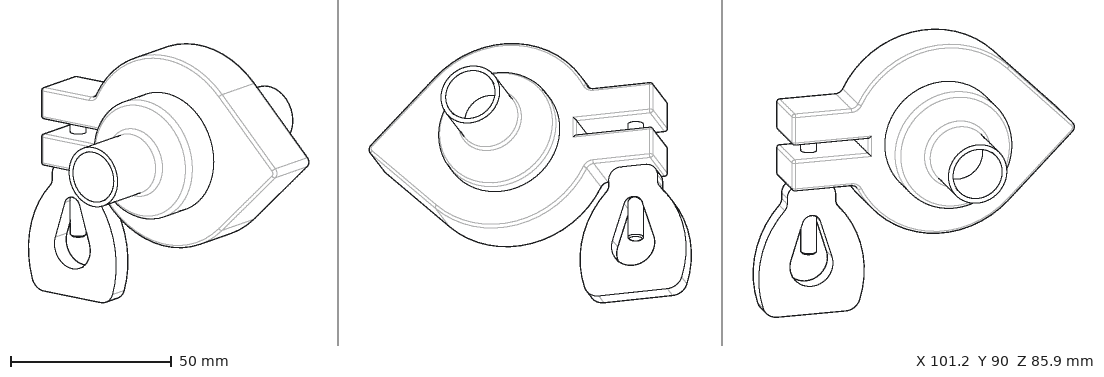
import cadquery as cq
import math

clamp_width = 18.0
ring_radius = 30.8
edge_round = 0.9
tip_x = 43.0
tip_round = 2.0
arm_end_x = -48.9
arm_half_height = 12.6
arm_root_round = 2.5
slot_half_height = 2.4
slot_end_x = -24.2

pipe_diameter = 19.0
bore_diameter = 16.0
body_diameter = 38.0
front_end_y = -46.0
front_cone_small_y = -25.1
front_cone_large_y = -21.4
rear_cone_large_y = 14.3
rear_cone_small_y = 22.5
rear_end_y = 44.0
body_round = 2.0

pin_x = -41.0
pin_diameter = 5.0
pin_bottom_z = -35.9
pin_chamfer = 0.5
handle_thickness = 6.1
handle_bottom_z = -55.1
neck_half_width = 7.9
neck_top_round = 3.9
neck_root_round = 3.0
handle_half_width = 17.2
handle_widest_z = -42.1
handle_side_radius = 31.9
handle_bottom_round = 4.9
eye_small_radius = 3.0
eye_small_z = -25.9
eye_large_radius = 7.0
eye_large_z = -39.0


def round_edges_along_y(body, points, radius):
    """Round the Y-direction edges that pass through the given (x, z) points."""
    for x, z in points:
        body = body.edges("|Y").edges(cq.selectors.NearestToPointSelector((x, 0, z))).fillet(radius)
    return body


def plate(outline, thickness):
    return outline.extrude(thickness / 2, both=True)


def make_clamp():
    apex_x = (tip_x - tip_round) / (1 - tip_round / ring_radius)
    flank_x = ring_radius**2 / apex_x
    flank_z = math.sqrt(ring_radius**2 - flank_x**2)
    arm_root_x = -math.sqrt(ring_radius**2 - arm_half_height**2)

    outline = (
        cq.Workplane("XZ")
        .moveTo(arm_root_x, arm_half_height)
        .threePointArc((0, ring_radius), (flank_x, flank_z))
        .lineTo(apex_x, 0)
        .lineTo(flank_x, -flank_z)
        .threePointArc((0, -ring_radius), (arm_root_x, -arm_half_height))
        .lineTo(arm_end_x, -arm_half_height)
        .lineTo(arm_end_x, -slot_half_height)
        .lineTo(slot_end_x, -slot_half_height)
        .lineTo(slot_end_x, slot_half_height)
        .lineTo(arm_end_x, slot_half_height)
        .lineTo(arm_end_x, arm_half_height)
        .close()
    )
    clamp = plate(outline, clamp_width)
    arm_heights = (arm_half_height, slot_half_height, -slot_half_height, -arm_half_height)
    clamp = round_edges_along_y(clamp, [(arm_end_x, z) for z in arm_heights], edge_round)
    arm_roots = [(arm_root_x, arm_half_height), (arm_root_x, -arm_half_height)]
    clamp = round_edges_along_y(clamp, arm_roots, arm_root_round)
    clamp = round_edges_along_y(clamp, [(apex_x, 0)], tip_round)
    return clamp.faces("<Y or >Y").edges().fillet(edge_round)


def make_pipe():
    pipe_radius = pipe_diameter / 2
    body_radius = body_diameter / 2
    profile = [
        (0, front_end_y),
        (pipe_radius, front_end_y),
        (pipe_radius, front_cone_small_y),
        (body_radius, front_cone_large_y),
        (body_radius, rear_cone_large_y),
        (pipe_radius, rear_cone_small_y),
        (pipe_radius, rear_end_y),
        (0, rear_end_y),
    ]
    pipe = cq.Workplane("XY").polyline(profile).close().revolve(360, (0, 0), (0, 1))
    cone_ends = cq.selectors.BoxSelector(
        (-body_diameter, front_cone_small_y - body_round, -body_diameter),
        (body_diameter, rear_cone_small_y + body_round, body_diameter),
    )
    return pipe.edges("%CIRCLE").edges(cone_ends).fillet(body_round)


def make_bore(start_y, end_y):
    """Blind bore reaching from a pipe end to the shoulder of the body."""
    return (
        cq.Workplane("XZ", origin=(0, start_y, 0))
        .circle(bore_diameter / 2)
        .extrude(start_y - end_y)
    )


def make_pin():
    return (
        cq.Workplane("XY", origin=(pin_x, 0, pin_bottom_z))
        .circle(pin_diameter / 2)
        .extrude(slot_half_height + edge_round - pin_bottom_z)
        .faces("<Z").edges().chamfer(pin_chamfer)
    )


def make_eye():
    """Teardrop opening: two circles joined by their common tangents."""
    slant = math.asin((eye_large_radius - eye_small_radius) / (eye_small_z - eye_large_z))
    small_x = eye_small_radius * math.cos(slant)
    large_x = eye_large_radius * math.cos(slant)
    small_tangent_z = eye_small_z + eye_small_radius * math.sin(slant)
    large_tangent_z = eye_large_z + eye_large_radius * math.sin(slant)
    outline = (
        cq.Workplane("XZ", origin=(pin_x, 0, 0))
        .moveTo(-small_x, small_tangent_z)
        .threePointArc((0, eye_small_z + eye_small_radius), (small_x, small_tangent_z))
        .lineTo(large_x, large_tangent_z)
        .threePointArc((0, eye_large_z - eye_large_radius), (-large_x, large_tangent_z))
        .close()
    )
    return plate(outline, handle_thickness)


def make_handle():
    side_center_x = handle_half_width - handle_side_radius
    neck_root_z = handle_widest_z + math.sqrt(
        handle_side_radius**2 - (neck_half_width - side_center_x) ** 2
    )
    bottom_half_width = side_center_x + math.sqrt(
        handle_side_radius**2 - (handle_bottom_z - handle_widest_z) ** 2
    )
    neck_top_z = -arm_half_height
    outline = (
        cq.Workplane("XZ", origin=(pin_x, 0, 0))
        .moveTo(-neck_half_width, neck_top_z)
        .lineTo(neck_half_width, neck_top_z)
        .lineTo(neck_half_width, neck_root_z)
        .threePointArc((handle_half_width, handle_widest_z), (bottom_half_width, handle_bottom_z))
        .lineTo(-bottom_half_width, handle_bottom_z)
        .threePointArc((-handle_half_width, handle_widest_z), (-neck_half_width, neck_root_z))
        .close()
    )
    handle = plate(outline, handle_thickness)
    corners = [
        (neck_half_width, neck_top_z, neck_top_round),
        (neck_half_width, neck_root_z, neck_root_round),
        (bottom_half_width, handle_bottom_z, handle_bottom_round),
    ]
    for half_width, z, radius in corners:
        pair = [(pin_x - half_width, z), (pin_x + half_width, z)]
        handle = round_edges_along_y(handle, pair, radius)
    return handle.cut(make_eye())


result = (
    make_clamp()
    .union(make_pipe())
    .cut(make_bore(front_end_y, front_cone_small_y))
    .cut(make_bore(rear_end_y, rear_cone_small_y))
    .union(make_handle())
    .union(make_pin())
)